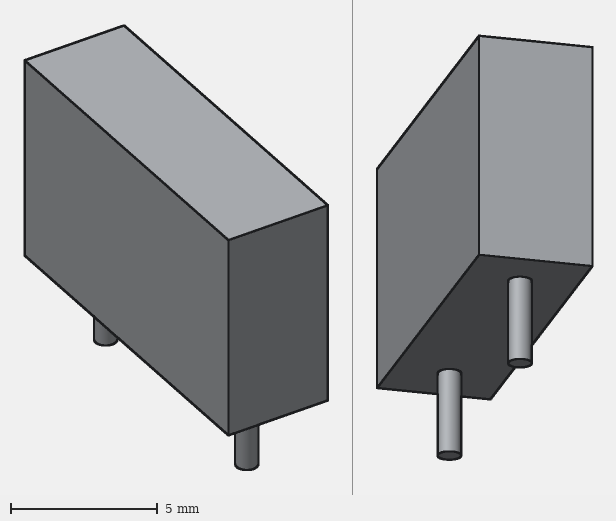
import cadquery as cq

body_length = 13.0
body_depth = 4.0
body_height = 8.0

pin_diameter = 0.8
pin_length = 3.0
pin_pitch = 9.0


def make_body():
    """Plain block standing on the XY plane."""
    return cq.Workplane("XY").box(body_length, body_depth, body_height, centered=(True, True, False))


def make_pins():
    """Two pins hanging from the underside, centred across the depth."""
    pin_centers = [(side * pin_pitch / 2, 0) for side in (-1, 1)]
    return cq.Workplane("XY").pushPoints(pin_centers).circle(pin_diameter / 2).extrude(-pin_length)


result = make_body().union(make_pins())